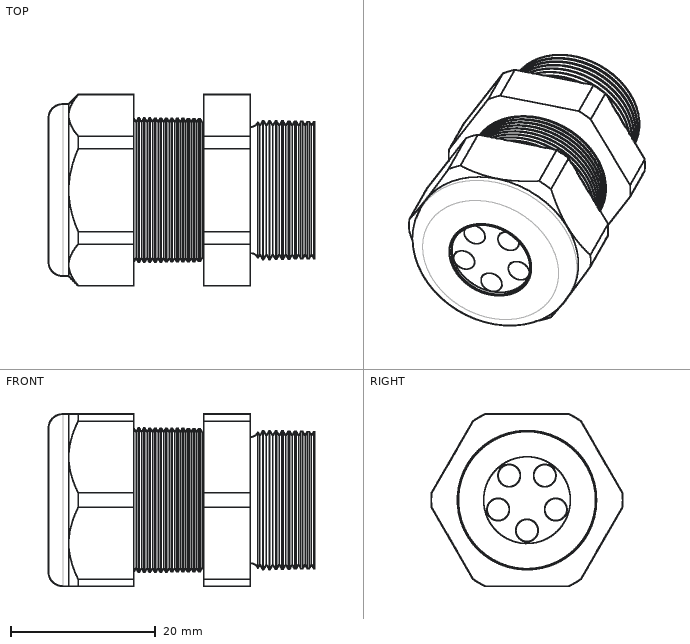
import cadquery as cq
import math


across_flats = 23.88
across_corners = 26.49
hex_side_count = 6

cap_rear_x = 11.84
collar_front_x = 21.48
collar_rear_x = 27.94
overall_length = 36.83

nose_clearance = 0.02
nose_radius = across_flats / 2 - nose_clearance
nose_fillet = 2.0
nose_length = 2.8
chamfer_end_x = nose_length + across_corners / 2 - nose_radius

flank_slope = math.tan(math.radians(60))

body_thread_pitch = 0.762
body_thread_root_radius = 9.42
body_thread_lead_in = 0.29
body_thread_first_root_x = cap_rear_x + body_thread_lead_in
body_thread_crest_count = 12
body_thread_first_crest_radius = 10.0
body_thread_last_crest_radius = 9.88

entry_thread_pitch = 0.89
entry_thread_root_radius = 8.93
entry_thread_crest_count = 8
entry_thread_first_crest_radius = 9.63
entry_thread_last_crest_radius = 9.48
entry_thread_first_root_x = overall_length - (entry_thread_crest_count + 0.5) * entry_thread_pitch

runout_start_radius = 8.74
runout_end_radius = 9.4
runout_end_x = entry_thread_first_root_x - (runout_end_radius - entry_thread_root_radius) / flank_slope

insert_diameter = 12.0
insert_recess_diameter = 11.52
insert_recess_depth = 0.5
cord_hole_count = 5
cord_hole_diameter = 3.05
cord_hole_circle_radius = 4.19


def crest_points(first_root_x, pitch, root_radius, count, first_crest_radius, last_crest_radius):
    """Flat-topped crests, each followed by the next sharp root, as (x, radius) points."""
    points = []
    for i in range(count):
        crest_radius = first_crest_radius + (last_crest_radius - first_crest_radius) * i / (count - 1)
        flank_run = (crest_radius - root_radius) / flank_slope
        root_x = first_root_x + i * pitch
        next_root_x = root_x + pitch
        points.append((root_x + flank_run, crest_radius))
        points.append((next_root_x - flank_run, crest_radius))
        points.append((next_root_x, root_radius))
    return points


def hex_prism(front_x, rear_x):
    """Hex bar along X with flats facing +Z and -Z and corners pointing along Y."""
    return (
        cq.Workplane("YZ", origin=(front_x, 0, 0))
        .transformed(rotate=(0, 0, 180 / hex_side_count))
        .polygon(hex_side_count, across_flats, circumscribed=True)
        .extrude(rear_x - front_x)
    )


def disc(front_x, rear_x, diameter):
    return cq.Workplane("YZ", origin=(front_x, 0, 0)).circle(diameter / 2).extrude(rear_x - front_x)


def revolve_about_x(profile):
    return profile.close().revolve(360, (0, 0, 0), (1, 0, 0))


def make_cap():
    nose = disc(0, cap_rear_x, 2 * nose_radius).faces("<X").edges().fillet(nose_fillet)
    hex_limit = revolve_about_x(
        cq.Workplane("XY")
        .moveTo(nose_length, 0)
        .lineTo(nose_length, nose_radius)
        .lineTo(chamfer_end_x, across_corners / 2)
        .lineTo(cap_rear_x, across_corners / 2)
        .lineTo(cap_rear_x, 0)
    )
    return hex_prism(nose_length, cap_rear_x).intersect(hex_limit).union(nose)


def make_body_thread():
    start_radius = body_thread_root_radius + body_thread_lead_in * flank_slope
    profile = (
        cq.Workplane("XY")
        .moveTo(cap_rear_x, 0)
        .lineTo(cap_rear_x, start_radius)
        .lineTo(body_thread_first_root_x, body_thread_root_radius)
    )
    for x, radius in crest_points(
        body_thread_first_root_x, body_thread_pitch, body_thread_root_radius,
        body_thread_crest_count, body_thread_first_crest_radius, body_thread_last_crest_radius,
    ):
        profile = profile.lineTo(x, radius)
    profile = profile.lineTo(collar_front_x, body_thread_root_radius).lineTo(collar_front_x, 0)
    return revolve_about_x(profile)


def make_collar():
    rounded_corners = disc(collar_front_x, collar_rear_x, across_corners)
    return hex_prism(collar_front_x, collar_rear_x).intersect(rounded_corners)


def runout_midpoint():
    """Middle of the run-out arc, which leaves the collar face parallel to the axis."""
    run = runout_end_x - collar_rear_x
    rise = runout_end_radius - runout_start_radius
    arc_radius = (run**2 + rise**2) / (2 * rise)
    half_sweep = math.atan2(rise, run)
    return (
        collar_rear_x + arc_radius * math.sin(half_sweep),
        runout_start_radius + arc_radius * (1 - math.cos(half_sweep)),
    )


def make_entry_thread():
    """Entry thread, ending at the far end in the middle of a crest."""
    profile = (
        cq.Workplane("XY")
        .moveTo(collar_rear_x, 0)
        .lineTo(collar_rear_x, runout_start_radius)
        .threePointArc(runout_midpoint(), (runout_end_x, runout_end_radius))
        .lineTo(entry_thread_first_root_x, entry_thread_root_radius)
    )
    for x, radius in crest_points(
        entry_thread_first_root_x, entry_thread_pitch, entry_thread_root_radius,
        entry_thread_crest_count, entry_thread_first_crest_radius, entry_thread_last_crest_radius,
    ):
        profile = profile.lineTo(x, radius)
    last_root_x = entry_thread_first_root_x + entry_thread_crest_count * entry_thread_pitch
    last_flank_run = (entry_thread_last_crest_radius - entry_thread_root_radius) / flank_slope
    profile = (
        profile.lineTo(last_root_x + last_flank_run, entry_thread_last_crest_radius)
        .lineTo(overall_length, entry_thread_last_crest_radius)
        .lineTo(overall_length, 0)
    )
    return revolve_about_x(profile)


def make_housing():
    """Cap, body thread, collar and entry thread in one piece, bored through for the insert."""
    solid_housing = make_cap().union(make_body_thread()).union(make_collar()).union(make_entry_thread())
    return solid_housing.cut(disc(0, overall_length, insert_diameter))


def make_insert():
    """Plug filling the housing bore, with a shallow front recess and cord holes spaced from -Z."""
    plug = disc(0, overall_length, insert_diameter)
    plug = plug.cut(disc(0, insert_recess_depth, insert_recess_diameter))
    cord_hole = disc(0, overall_length, cord_hole_diameter).translate((0, 0, -cord_hole_circle_radius))
    for i in range(cord_hole_count):
        plug = plug.cut(cord_hole.rotate((0, 0, 0), (1, 0, 0), i * 360 / cord_hole_count))
    return plug


housing = make_housing()
insert = make_insert()

result = cq.Compound.makeCompound([housing.val(), insert.val()])